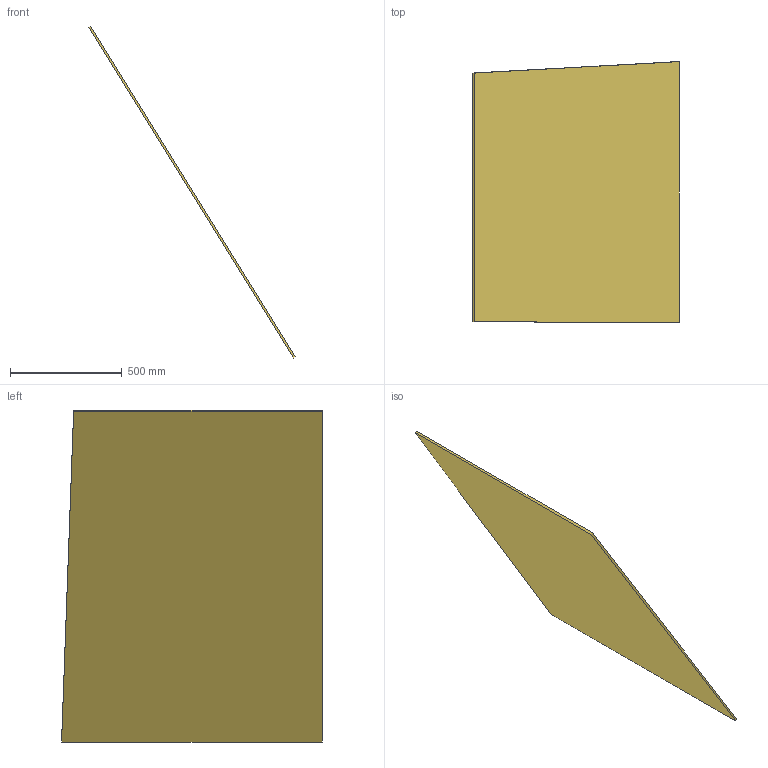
import cadquery as cq
import math

size_x = 922.47
size_y = 1165.82
size_z = 1484.07

thickness = 10.0
raised_end_width = 1112.0
low_end_width = size_y

envelope_diagonal = math.hypot(size_x, size_z)
diagonal_angle = math.atan2(size_z, size_x)
tilt_substitutions = 6

tilt = diagonal_angle
for _ in range(tilt_substitutions):
    tilt = diagonal_angle - math.asin(thickness * math.cos(2 * tilt) / envelope_diagonal)
length = (size_x - thickness * math.sin(tilt)) / math.cos(tilt)


def tapered_plate():
    """Flat plate with a square front edge and a slanted back edge.

    Local X runs from the narrow raised end to the wide low end.
    """
    outline = [
        (0, 0),
        (length, 0),
        (length, low_end_width),
        (0, raised_end_width),
    ]
    return cq.Workplane("XY").polyline(outline).close().extrude(thickness)


result = tapered_plate().rotate((0, 0, 0), (0, 1, 0), math.degrees(tilt))